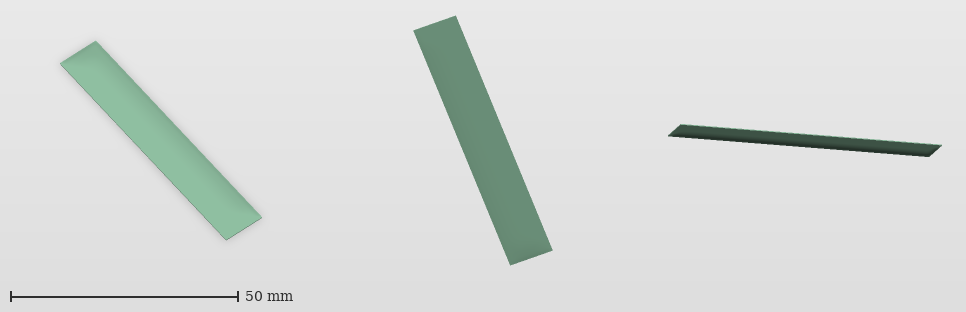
import cadquery as cq

length = 60.0
width = 10.0
thickness = 0.2

result = cq.Workplane("XY").box(length, width, thickness)